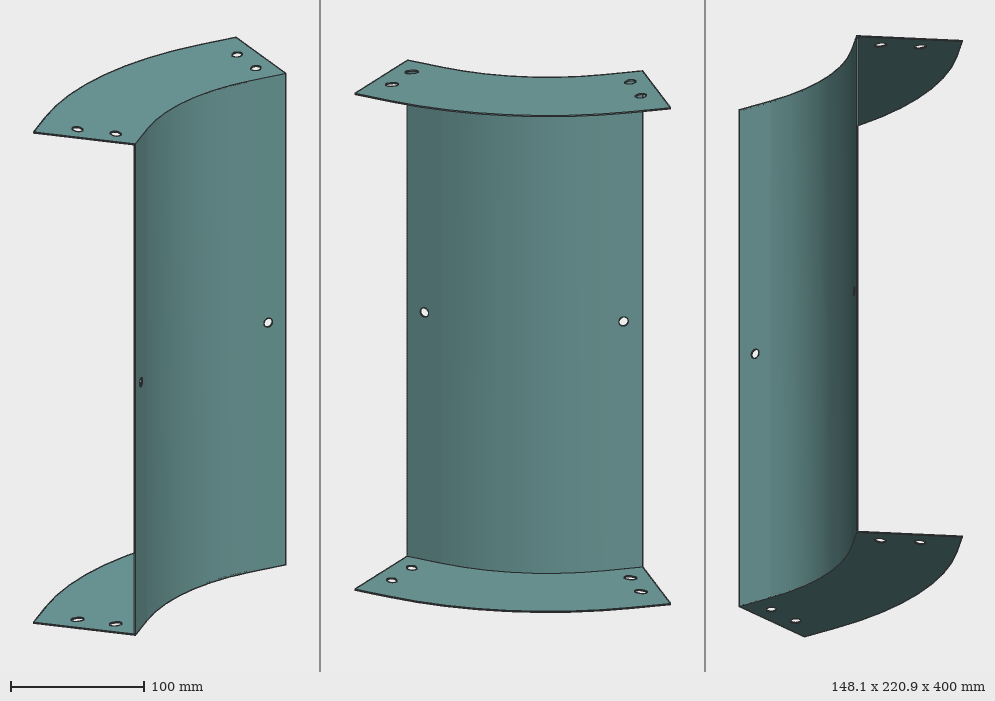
import cadquery as cq
import math

height = 400.0
flange_width = 80.0
outer_radius = 240.0
inner_radius = outer_radius - flange_width
bend_angle = 45.0
straight_length = 30.0
straight_middle = straight_length / 2
thickness = 1.0

wall_hole_diameter = 7.0
slot_width = 7.0
slot_length = 10.0
slot_tilt = 45.0
slot_offsets = (30.0, 60.0)

center_x = outer_radius
center_y = straight_length


def bend_point(radius, angle):
    """Point on the bend, with the angle measured from its start."""
    turn = math.radians(angle)
    return center_x - radius * math.cos(turn), center_y + radius * math.sin(turn)


def end_point(radius):
    """Point where the second straight run ends."""
    x, y = bend_point(radius, bend_angle)
    turn = math.radians(bend_angle)
    return x + straight_length * math.sin(turn), y + straight_length * math.cos(turn)


def curved_strip(outside, inside, depth):
    """Extruded strip between two concentric paths with straight ends."""
    return (
        cq.Workplane("XY")
        .moveTo(center_x - outside, 0)
        .lineTo(*bend_point(outside, 0))
        .threePointArc(bend_point(outside, bend_angle / 2), bend_point(outside, bend_angle))
        .lineTo(*end_point(outside))
        .lineTo(*end_point(inside))
        .lineTo(*bend_point(inside, bend_angle))
        .threePointArc(bend_point(inside, bend_angle / 2), bend_point(inside, 0))
        .lineTo(center_x - inside, 0)
        .close()
        .extrude(depth)
    )


def copy_to_far_end(body):
    """Move a feature past the bend start and turn it onto the second straight run."""
    moved = body.translate((0, straight_length, 0))
    return moved.rotate((center_x, center_y, 0), (center_x, center_y, 1), -bend_angle)


def flange_slots(base_height, tilt):
    """Pair of tilted slots through one flange at the near end."""
    return (
        cq.Workplane("XY", origin=(0, 0, base_height))
        .pushPoints([(offset, straight_middle) for offset in slot_offsets])
        .slot2D(slot_length, slot_width, tilt)
        .extrude(thickness)
    )


def wall_hole():
    """Hole through the wall, midway along the first straight run."""
    return (
        cq.Workplane("YZ", origin=(flange_width - 2 * thickness, 0, 0))
        .center(straight_middle, height / 2)
        .circle(wall_hole_diameter / 2)
        .extrude(3 * thickness)
    )


top_flange_base = height - thickness
flange = curved_strip(outer_radius, inner_radius, thickness)
wall = curved_strip(inner_radius + thickness, inner_radius, height)
result = wall.union(flange).union(flange.translate((0, 0, top_flange_base)))

near_end_cutters = (
    flange_slots(0, slot_tilt),
    flange_slots(top_flange_base, -slot_tilt),
    wall_hole(),
)
for cutter in near_end_cutters:
    result = result.cut(cutter).cut(copy_to_far_end(cutter))